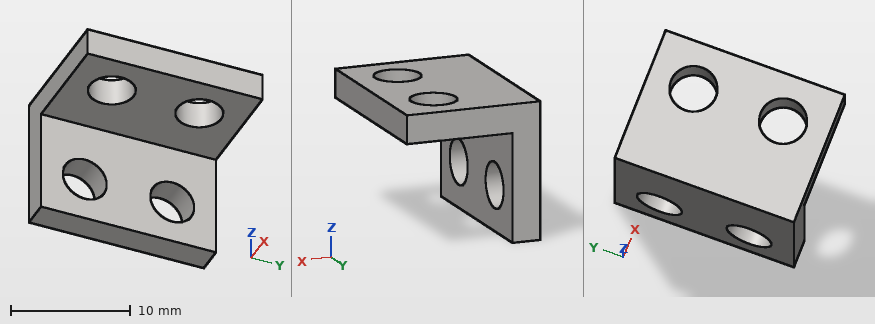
import cadquery as cq

leg_length = 12.0
bracket_width = 16.0
thickness = 2.5
hole_diameter = 4.0
hole_from_corner = 8.0
hole_spacing = bracket_width / 2

hole_positions_y = (-hole_spacing / 2, hole_spacing / 2)


def angle_profile():
    """L-shaped section extruded along Y, centred on the XZ plane."""
    return (
        cq.Workplane("XZ")
        .moveTo(0, 0)
        .lineTo(leg_length, 0)
        .lineTo(leg_length, -thickness)
        .lineTo(thickness, -thickness)
        .lineTo(thickness, -leg_length)
        .lineTo(0, -leg_length)
        .close()
        .extrude(bracket_width / 2, both=True)
    )


def hole_cutter(start, direction):
    """Cylinder that passes through one leg thickness."""
    return cq.Workplane(
        cq.Solid.makeCylinder(hole_diameter / 2, thickness, cq.Vector(*start), cq.Vector(*direction))
    )


result = angle_profile()
for y in hole_positions_y:
    top_leg_hole = hole_cutter((hole_from_corner, y, -thickness), (0, 0, 1))
    side_leg_hole = hole_cutter((0, y, -hole_from_corner), (1, 0, 0))
    result = result.cut(top_leg_hole).cut(side_leg_hole)